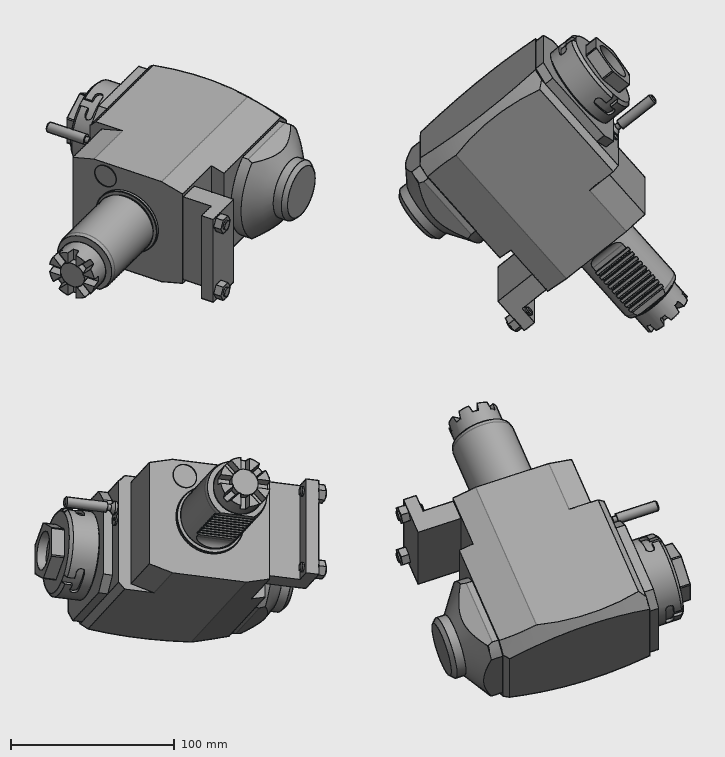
import cadquery as cq
import math


HALF_HEIGHT = 37.5
HOUSING_LEFT = -47.0
HOUSING_RIGHT = 48.0
HOUSING_BACK = 114.0
FOOT_HALF_WIDTH = 39.0
FOOT_TOP_Y = 35.0
LEFT_CHAMFER = 4.0
TAPER_START_X = 24.0
TAPER_SLOPE = math.tan(math.radians(15))
BACK_CORNER_CHAMFER = 3.0
CROWN_CENTRE_X = -9.0
CROWN_FRONT_Y = 109.3
CROWN_RADIUS = 138.0
PLUG_X, PLUG_Z = -15.9, 27.5
PLUG_RADIUS = 7.6
PLUG_DEPTH = 0.5

SPINDLE_Y = 80.0
PLATE_LEFT = -53.0
PLATE_SIZE = 67.0
PLATE_CHAMFER = 9.0
NUT_LEFT, NUT_RIGHT = -72.3, -53.6
NUT_RADIUS = 27.5
NUT_CHAMFER = 2.0
NUT_NECK_RADIUS = 26.3
SPANNER_SLOT_DEPTH = 2.0
SPANNER_CUT_MARGIN = 4.0
SPANNER_SLOT_X = -62.9
SPANNER_SLOT_WIDTH = 5.3
SPANNER_SLOT_LENGTH = 19.0
SPANNER_SLOT_ANGLES = (60, 180, 300)
HEX_LEFT = -80.5
HEX_ACROSS_FLATS = 32.0
HEX_TURNED_RADIUS = 18.2
HEX_BORE_RADIUS = 12.0
HEX_BORE_DEPTH = 6.0

PIN_Y, PIN_Z = 40.5, 17.4
PIN_LEFT = -80.0
PIN_RADIUS = 3.25
PIN_CHAMFER = 0.8
PIN_NECK_RADIUS = 2.0
PIN_NECK_LEFT, PIN_NECK_RIGHT = -53.2, -50.5
PIN_SEAT_LEFT = -48.4
PIN_SEAT_RADIUS = 4.2
SEAT_SCREW_Z = 10.3
SEAT_SCREW_HEIGHT = 1.0
SEAT_SCREW_RADIUS = 4.1
SEAT_SCREW_HOLE_RADIUS = 0.9

FLANGE_RADIUS = 37.0
FLANGE_RIGHT = 55.4
FLANGE_FLAT_Y = 110.0
FLANGE_HALF_HEIGHT = 29.35
FLANGE_TAPER_X = 52.0
CAP_LEFT, CAP_RIGHT = 68.1, 76.7
CAP_RADIUS = 19.6
CAP_CHAMFER_LENGTH = 2.8
CAP_CHAMFER_DEPTH = 2.7

BRACKET_HALF_HEIGHT = 31.0
BRACKET_RIGHT = 67.1
BRACKET_BACK = 14.0
ARM_FRONT = 0.7
LEG_LEFT = 58.8
LEG_FRONT = -11.1
BOLT_Y = -4.7
BOLT_Z = 25.0
BOLT_RADIUS = 3.0
BOLT_LEFT = 57.0
BOLT_CHAMFER = 0.8
BOLT_HEX = 10.0
BOLT_HEX_LENGTH = 5.1
BOLT_RIGHT = 73.3

SHANK_RADIUS = 20.0
SHANK_END = -52.7
SHANK_CHAMFER = 0.7
SHANK_CHAMFER_LENGTH = 2.6
COLLAR_RADIUS = 21.8
COLLAR_LENGTH = 2.0
COLLAR_CHAMFER = 0.3
RELIEF_RADIUS = 19.3
RELIEF_LENGTH = 1.5
SHANK_FLAT_Z = -16.0
SHANK_FLAT_START = -11.0
SHANK_FLAT_RUNOUT = 6.0
TOOTH_PITCH = 3.93
TOOTH_COUNT = 10
FIRST_TOOTH_Y = -13.8
TOOTH_DEPTH = 0.9
TOOTH_TIP = 0.6
TOOTH_ROOT = 2.0

COLLET_NECK_RADIUS = 13.0
COLLET_TOP = -53.8
COLLET_END = -68.0
COLLET_RADIUS = 16.1
COLLET_CHAMFER = 0.5
COLLET_CORE_RADIUS = 8.5
COLLET_CORE_RECESS = 0.5
COLLET_SLOT_DEPTH = 4.9
COLLET_SLOT_COUNT = 8
COLLET_SLOT_OPEN = 5.6
COLLET_SLOT_FLOOR = 3.6


def box(x0, x1, y0, y1, z0, z1):
    """Box between opposite corners."""
    return cq.Workplane("XY").box(x1 - x0, y1 - y0, z1 - z0, centered=False).translate((x0, y0, z0))


def cylinder_x(x0, x1, radius, y, z=0.0):
    """Cylinder along X."""
    return cq.Workplane("YZ", origin=(x0, y, z)).circle(radius).extrude(x1 - x0)


def revolve_x(points, y, z=0.0):
    """Turn (x, radius) points about the line along X at (y, z)."""
    profile = cq.Workplane("XY", origin=(0, y, z)).polyline(points).close()
    return profile.revolve(360, (0, 0, 0), (1, 0, 0))


def revolve_y(points):
    """Turn (radius, y) points about the Y axis."""
    return cq.Workplane("XY").polyline(points).close().revolve(360, (0, 0, 0), (0, 1, 0))


def prism_y(half_outline, y0, y1):
    """Extrude along Y an outline given as the upper half in (x, z), mirrored about Z = 0."""
    lower = [(x, -z) for x, z in reversed(half_outline)]
    profile = cq.Workplane("XZ", origin=(0, y0, 0)).polyline(half_outline + lower).close()
    return profile.extrude(y0 - y1)


def taper_height(x):
    """Half height of the housing where its side tapers, x measured from the shank axis."""
    return HALF_HEIGHT - (abs(x) - TAPER_START_X) * TAPER_SLOPE


def make_housing_block():
    upper = prism_y(
        [
            (HOUSING_LEFT, HALF_HEIGHT - LEFT_CHAMFER),
            (HOUSING_LEFT + LEFT_CHAMFER, HALF_HEIGHT),
            (TAPER_START_X, HALF_HEIGHT),
            (HOUSING_RIGHT, taper_height(HOUSING_RIGHT)),
        ],
        FOOT_TOP_Y,
        HOUSING_BACK,
    )
    upper = upper.edges("|Z and >X and >Y").chamfer(BACK_CORNER_CHAMFER)
    foot = prism_y(
        [
            (-FOOT_HALF_WIDTH, taper_height(FOOT_HALF_WIDTH)),
            (-TAPER_START_X, HALF_HEIGHT),
            (TAPER_START_X, HALF_HEIGHT),
            (FOOT_HALF_WIDTH, taper_height(FOOT_HALF_WIDTH)),
        ],
        0,
        FOOT_TOP_Y,
    )
    return upper.union(foot)


def make_flange():
    """Conical flange on the right, flattened at the back and tapered above and below."""
    cone = revolve_x(
        [
            (0, 0),
            (0, FLANGE_RADIUS),
            (FLANGE_RIGHT, FLANGE_RADIUS),
            (CAP_LEFT, CAP_RADIUS),
            (CAP_LEFT, 0),
        ],
        SPINDLE_Y,
    )
    end_height = FLANGE_HALF_HEIGHT - (CAP_LEFT - FLANGE_TAPER_X) * TAPER_SLOPE
    envelope = prism_y(
        [
            (0, FLANGE_HALF_HEIGHT),
            (FLANGE_TAPER_X, FLANGE_HALF_HEIGHT),
            (CAP_LEFT, end_height),
        ],
        0,
        FLANGE_FLAT_Y,
    )
    return cone.intersect(envelope)


def make_crown_envelope():
    """Double cone about a Z line; its 45 degree slopes bevel the back of the housing."""
    middle_radius = CROWN_RADIUS + HALF_HEIGHT
    profile = cq.Workplane("XZ").polyline(
        [
            (0, -HALF_HEIGHT),
            (CROWN_RADIUS, -HALF_HEIGHT),
            (middle_radius, 0),
            (CROWN_RADIUS, HALF_HEIGHT),
            (0, HALF_HEIGHT),
        ]
    ).close()
    cones = profile.revolve(360, (0, 0, 0), (0, 1, 0))
    return cones.translate((CROWN_CENTRE_X, CROWN_FRONT_Y - CROWN_RADIUS, 0))


def make_housing():
    housing = make_housing_block().union(make_flange()).intersect(make_crown_envelope())
    plug = cq.Workplane("XZ", origin=(PLUG_X, 0, PLUG_Z)).circle(PLUG_RADIUS).extrude(-PLUG_DEPTH)
    return housing.cut(plug)


def make_cap():
    return revolve_x(
        [
            (CAP_LEFT, 0),
            (CAP_LEFT, CAP_RADIUS),
            (CAP_RIGHT - CAP_CHAMFER_LENGTH, CAP_RADIUS),
            (CAP_RIGHT, CAP_RADIUS - CAP_CHAMFER_DEPTH),
            (CAP_RIGHT, 0),
        ],
        SPINDLE_Y,
    )


def make_plate():
    plate = cq.Workplane("YZ", origin=(PLATE_LEFT, SPINDLE_Y, 0)).rect(PLATE_SIZE, PLATE_SIZE)
    return plate.extrude(HOUSING_LEFT - PLATE_LEFT).edges("|X").chamfer(PLATE_CHAMFER)


def make_spanner_slot(angle):
    """Rounded slot with a channel to the left face, cut into the rim of the clamping nut."""
    floor_radius = NUT_RADIUS - SPANNER_SLOT_DEPTH
    start_radius = floor_radius - SPANNER_CUT_MARGIN
    cut_length = SPANNER_SLOT_DEPTH + 2 * SPANNER_CUT_MARGIN
    plane = cq.Workplane("XZ", origin=(0, SPINDLE_Y - start_radius, 0))
    slot = plane.center(SPANNER_SLOT_X, 0).slot2D(SPANNER_SLOT_LENGTH, SPANNER_SLOT_WIDTH, 90)
    slot = slot.extrude(cut_length)
    channel_length = SPANNER_SLOT_X - NUT_LEFT
    channel = plane.center(NUT_LEFT + channel_length / 2, 0).rect(channel_length, SPANNER_SLOT_WIDTH)
    slot = slot.union(channel.extrude(cut_length))
    slot = slot.cut(cylinder_x(NUT_LEFT, NUT_RIGHT, floor_radius, SPINDLE_Y))
    return slot.rotate((0, SPINDLE_Y, 0), (1, SPINDLE_Y, 0), -angle)


def make_clamping_nut():
    nut = cylinder_x(NUT_LEFT, NUT_RIGHT, NUT_RADIUS, SPINDLE_Y).faces("<X").chamfer(NUT_CHAMFER)
    for angle in SPANNER_SLOT_ANGLES:
        nut = nut.cut(make_spanner_slot(angle))
    return nut.union(cylinder_x(NUT_RIGHT, PLATE_LEFT, NUT_NECK_RADIUS, SPINDLE_Y))


def make_hexagon(x0, x1, across_flats, y, z, turn):
    """Hexagonal bar along X; turn = 0 puts two corners on the Y line."""
    corner_diameter = across_flats / math.cos(math.pi / 6)
    hexagon = cq.Workplane("YZ", origin=(x0, y, z)).polygon(6, corner_diameter).extrude(x1 - x0)
    return hexagon.rotate((0, y, z), (1, y, z), turn)


def make_spindle_hexagon():
    hexagon = make_hexagon(HEX_LEFT, NUT_LEFT, HEX_ACROSS_FLATS, SPINDLE_Y, 0, 90)
    hexagon = hexagon.intersect(cylinder_x(HEX_LEFT, NUT_LEFT, HEX_TURNED_RADIUS, SPINDLE_Y))
    bore = cylinder_x(HEX_LEFT, HEX_LEFT + HEX_BORE_DEPTH, HEX_BORE_RADIUS, SPINDLE_Y)
    return hexagon.cut(bore)


def make_coolant_pin():
    return revolve_x(
        [
            (PIN_LEFT, 0),
            (PIN_LEFT, PIN_RADIUS - PIN_CHAMFER),
            (PIN_LEFT + PIN_CHAMFER, PIN_RADIUS),
            (PIN_NECK_LEFT, PIN_RADIUS),
            (PIN_NECK_LEFT, PIN_NECK_RADIUS),
            (PIN_NECK_RIGHT, PIN_NECK_RADIUS),
            (PIN_SEAT_LEFT, PIN_SEAT_RADIUS),
            (HOUSING_LEFT, PIN_SEAT_RADIUS),
            (HOUSING_LEFT, 0),
        ],
        PIN_Y,
        PIN_Z,
    )


def make_seat_screw():
    left = HOUSING_LEFT - SEAT_SCREW_HEIGHT
    head = cylinder_x(left, HOUSING_LEFT, SEAT_SCREW_RADIUS, PIN_Y, SEAT_SCREW_Z)
    return head.cut(cylinder_x(left, HOUSING_LEFT, SEAT_SCREW_HOLE_RADIUS, PIN_Y, SEAT_SCREW_Z))


def make_bracket():
    height = BRACKET_HALF_HEIGHT
    arm = box(FOOT_HALF_WIDTH, BRACKET_RIGHT, ARM_FRONT, BRACKET_BACK, -height, height)
    return arm.union(box(LEG_LEFT, BRACKET_RIGHT, LEG_FRONT, BRACKET_BACK, -height, height))


def make_bolt(z):
    shaft = cylinder_x(BOLT_LEFT, BOLT_RIGHT, BOLT_RADIUS, BOLT_Y, z).faces("<X").chamfer(BOLT_CHAMFER)
    return shaft.union(make_hexagon(BRACKET_RIGHT, BRACKET_RIGHT + BOLT_HEX_LENGTH, BOLT_HEX, BOLT_Y, z, 0))


def make_flat_cutter():
    """Flat along the underside of the shank, ending in a round run-out near the collar."""
    below = SHANK_FLAT_Z - SHANK_FLAT_RUNOUT
    half_turn = SHANK_FLAT_RUNOUT * math.sqrt(0.5)
    mid_point = (SHANK_FLAT_START + half_turn, below + half_turn)
    profile = (
        cq.Workplane("YZ", origin=(-SHANK_RADIUS, 0, 0))
        .moveTo(SHANK_END, below)
        .lineTo(SHANK_END, SHANK_FLAT_Z)
        .lineTo(SHANK_FLAT_START, SHANK_FLAT_Z)
        .threePointArc(mid_point, (SHANK_FLAT_START + SHANK_FLAT_RUNOUT, below))
        .close()
    )
    return profile.extrude(2 * SHANK_RADIUS)


def make_tooth_gap(y):
    """Trapezoidal groove across the flat, centred at y."""
    half_open = (TOOTH_PITCH - TOOTH_TIP) / 2
    half_root = TOOTH_ROOT / 2
    root_z = SHANK_FLAT_Z + TOOTH_DEPTH
    profile = cq.Workplane("YZ", origin=(-SHANK_RADIUS, 0, 0)).polyline(
        [
            (y - half_open, SHANK_FLAT_Z),
            (y - half_root, root_z),
            (y + half_root, root_z),
            (y + half_open, SHANK_FLAT_Z),
        ]
    ).close()
    return profile.extrude(2 * SHANK_RADIUS)


def make_shank():
    relief_end = -COLLAR_LENGTH - RELIEF_LENGTH
    shank = revolve_y(
        [
            (0, 0),
            (COLLAR_RADIUS, 0),
            (COLLAR_RADIUS, COLLAR_CHAMFER - COLLAR_LENGTH),
            (COLLAR_RADIUS - COLLAR_CHAMFER, -COLLAR_LENGTH),
            (RELIEF_RADIUS, -COLLAR_LENGTH),
            (SHANK_RADIUS, relief_end),
            (SHANK_RADIUS, SHANK_END + SHANK_CHAMFER_LENGTH),
            (SHANK_RADIUS - SHANK_CHAMFER, SHANK_END),
            (0, SHANK_END),
        ]
    )
    shank = shank.cut(make_flat_cutter())
    for gap in range(TOOTH_COUNT - 1):
        shank = shank.cut(make_tooth_gap(FIRST_TOOTH_Y - (gap + 0.5) * TOOTH_PITCH))
    return shank


def make_collet_slot(angle):
    """Radial slot in the end face of the collet nut, widening towards the open end."""
    floor_y = COLLET_END + COLLET_SLOT_DEPTH
    profile = cq.Workplane("XY").polyline(
        [
            (-COLLET_SLOT_OPEN / 2, COLLET_END),
            (-COLLET_SLOT_FLOOR / 2, floor_y),
            (COLLET_SLOT_FLOOR / 2, floor_y),
            (COLLET_SLOT_OPEN / 2, COLLET_END),
        ]
    ).close()
    return profile.extrude(COLLET_RADIUS).rotate((0, 0, 0), (0, 1, 0), angle)


def make_collet_nut():
    nut = revolve_y(
        [
            (0, SHANK_END),
            (COLLET_NECK_RADIUS, SHANK_END),
            (COLLET_NECK_RADIUS, COLLET_TOP),
            (COLLET_RADIUS - COLLET_CHAMFER, COLLET_TOP),
            (COLLET_RADIUS, COLLET_TOP - COLLET_CHAMFER),
            (COLLET_RADIUS, COLLET_END),
            (0, COLLET_END),
        ]
    )
    for slot in range(COLLET_SLOT_COUNT):
        nut = nut.cut(make_collet_slot(slot * 360 / COLLET_SLOT_COUNT))
    end_face = cq.Workplane("XZ", origin=(0, COLLET_END, 0)).circle(COLLET_CORE_RADIUS)
    nut = nut.cut(end_face.extrude(-COLLET_SLOT_DEPTH))
    core_face = cq.Workplane("XZ", origin=(0, COLLET_END + COLLET_CORE_RECESS, 0)).circle(COLLET_CORE_RADIUS)
    return nut.union(core_face.extrude(COLLET_CORE_RECESS - COLLET_SLOT_DEPTH))


result = make_housing()
for make_feature in (
    make_cap,
    make_plate,
    make_clamping_nut,
    make_spindle_hexagon,
    make_coolant_pin,
    make_seat_screw,
    make_bracket,
    make_shank,
    make_collet_nut,
):
    result = result.union(make_feature())
for bolt_z in (-BOLT_Z, BOLT_Z):
    result = result.union(make_bolt(bolt_z))